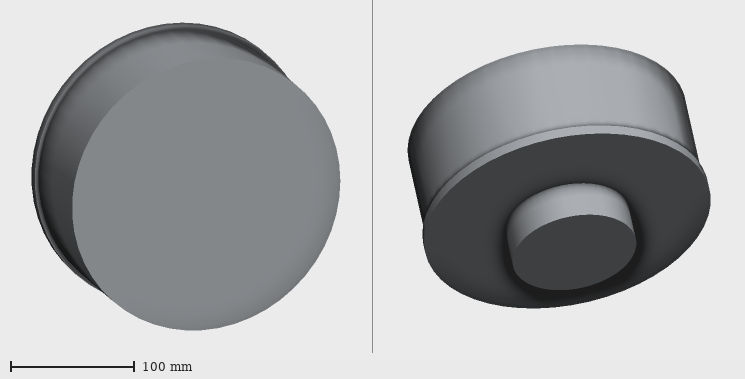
import cadquery as cq

total_length = 123.8
flange_diameter = 235.0
flange_thickness = 8.2
boss_diameter = 101.5
boss_length = 31.7
drum_diameter = 228.5
drum_length = total_length - boss_length - flange_thickness

boss_start = -total_length / 2
flange_start = boss_start + boss_length
drum_start = flange_start + flange_thickness


def disc(start, length, diameter):
    """Solid cylinder along +X, beginning at the given X position."""
    return cq.Workplane("YZ", origin=(start, 0, 0)).circle(diameter / 2).extrude(length)


boss = disc(boss_start, boss_length, boss_diameter)
flange = disc(flange_start, flange_thickness, flange_diameter)
drum = disc(drum_start, drum_length, drum_diameter)

result = boss.union(flange).union(drum)